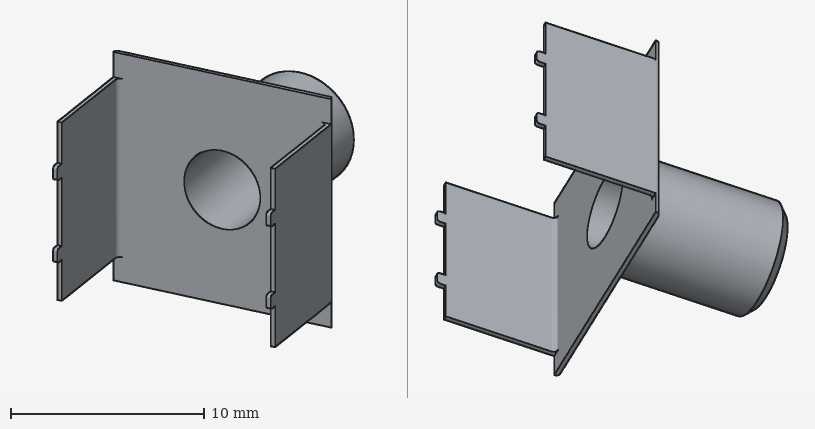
import cadquery as cq

width = 12.7
height = 13.0
sheet = 0.25
plate_back = 7.01
outer_bend_radius = 0.22
inner_bend_radius = 0.25
flap_height = 10.15

tab_length = 0.5
tab_width = 0.8
tab_spacing = 4.69
tab_corner_radius = 0.16

total_length = 15.94
collar_diameter = 7.97
collar_length = 0.91
barrel_diameter = 6.33
barrel_chamfer = 0.5
bore_diameter = 4.45

plate_front = plate_back - sheet


def make_plate():
    plate = cq.Workplane("XY").box(width, sheet, height).translate((0, plate_back - sheet / 2, 0))
    return plate.edges("|Z and >Y").fillet(outer_bend_radius)


def make_flap(side):
    """Flap with its inside bend fillet and tabs; side is -1 or +1 along X."""
    outer = side * width / 2
    inner = outer - side * sheet
    flap = (
        cq.Workplane("XY", origin=(0, 0, -flap_height / 2))
        .moveTo(outer, tab_length)
        .lineTo(outer, plate_front)
        .lineTo(inner - side * inner_bend_radius, plate_front)
        .radiusArc((inner, plate_front - inner_bend_radius), side * inner_bend_radius)
        .lineTo(inner, tab_length)
        .close()
        .extrude(flap_height)
    )
    for tab_z in (-tab_spacing / 2, tab_spacing / 2):
        tab = cq.Workplane("XY").box(sheet, tab_length, tab_width)
        tab = tab.edges("|X and <Y").fillet(tab_corner_radius)
        flap = flap.union(tab.translate((outer - side * sheet / 2, tab_length / 2, tab_z)))
    return flap


def cylinder_along_y(diameter, start, end):
    return cq.Workplane("XZ", origin=(0, start, 0)).circle(diameter / 2).extrude(start - end)


def make_barrel():
    collar = cylinder_along_y(collar_diameter, plate_back, plate_back + collar_length)
    barrel = cylinder_along_y(barrel_diameter, plate_back, total_length)
    barrel = barrel.faces(">Y").chamfer(barrel_chamfer)
    return collar.union(barrel)


result = make_plate().union(make_barrel())
for flap_side in (-1, 1):
    result = result.union(make_flap(flap_side))
result = result.cut(cylinder_along_y(bore_diameter, plate_front, total_length))